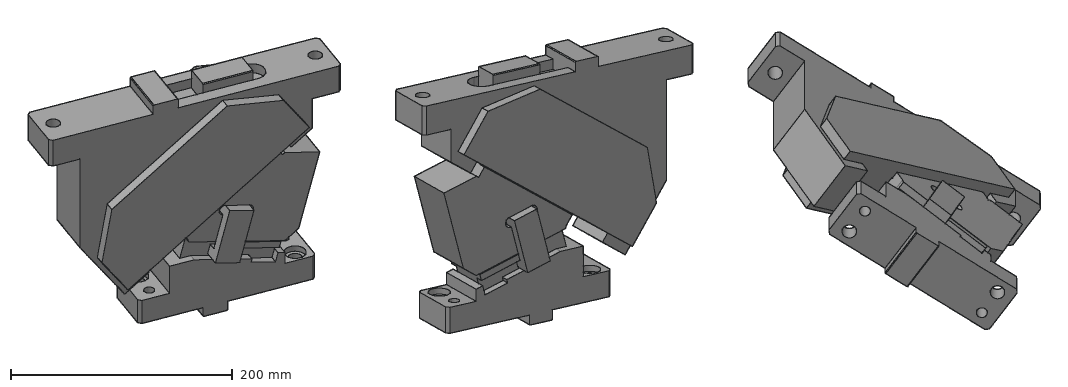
import cadquery as cq
import math

BODY_WIDTH = 50.0
GUIDE_WIDTH = 34.8
HALF_BODY = BODY_WIDTH / 2
HALF_GUIDE = GUIDE_WIDTH / 2
RELIEF = 1.0
KEY_SIZE = 25.0
KEY_RISE = 10.0
KEY_CHAMFER = 1.0
CORNER_CHAMFER = 3.0

HOLDER_LENGTH = 290.0
TOTAL_HEIGHT = 245.0
HOLDER_TOP = TOTAL_HEIGHT - KEY_RISE
FLANGE_THICKNESS = 28.0
FLANGE_BOTTOM = HOLDER_TOP - FLANGE_THICKNESS
BLOCK_BACK = 115.7
BLOCK_FRONT = -115.0
HOLE_DIAMETER = 13.0
HOLDER_HOLE_Y = 130.2

KEYWAY_BACK = 79.8
KEYWAY_DEPTH = 10.0
KEY_BACK = 62.5
KEY_LENGTH = 50.0
RIB_BACK = -17.5
RIB_FRONT = RIB_BACK - KEY_SIZE

SLIDE_ANGLE = 35
SLIDE_Y = 108.2
SLIDE_Z = 184.2
PLATE_LENGTH = 220.0
PLATE_HEIGHT = 85.0
PLATE_CHAMFER = 40.0
PLATE_SPAN = 70.0
UPPER_LIP_END = 24.6
UPPER_LIP_DROP = 12.0
LOWER_LIP_START = 195.5
LOWER_LIP_END = 225.3
LOWER_LIP_DROP = 10.0

SEAT_ANGLE = 15
SEAT_Y = 79.2
SEAT_Z = 39.5
SEAT_STEP = 3.5
RECESS_LENGTH = 25.0
STOP_RISE = 9.5
RAIL_LENGTH = 95.0
RAIL_HEIGHT = 22.3
RAIL_FLANGE_BOTTOM = 15.0
RAIL_FLANGE_LENGTH = 55.0

BASE_BACK = 119.5
BASE_FRONT = -56.5
BASE_TOP = 35.0
HUB_BACK = 88.7
HUB_FRONT = -26.0
HUB_TOP = 64.7
BASE_KEY_BACK = 32.0
FOOT_HOLE_X = 12.5
FOOT_HOLE_BACK = 104.5
FOOT_HOLE_FRONT = -40.5
DOWEL_DIAMETER = 10.0
BORE_DIAMETER = 20.0
BORE_DEPTH = 5.8

SLIDER_START = 35.0
SLIDER_END = 150.0
SLIDER_HEAD_DEPTH = 11.5
SLIDER_BACK_TOP = (123.2, 147.0)
SLIDER_SHOULDER = (88.5, 156.0)
SLIDER_BACK_LOW = (102.5, 69.5)
SLIDER_TOE = (88.7, 60.0)
HOOK_START = 42.5
HOOK_WIDTH = 25.0
HOOK_BOTTOM = 5.2
HOOK_TOP = 60.3
HOOK_SPAN = 68.2
POCKET_WIDTH = 10.0
POCKET_DEPTH = 7.5


def on_slide(along, above):
    """(y, z) of a point given along the slide, downhill, and above it."""
    angle = math.radians(SLIDE_ANGLE)
    y = SLIDE_Y - along * math.cos(angle) - above * math.sin(angle)
    z = SLIDE_Z - along * math.sin(angle) + above * math.cos(angle)
    return y, z


def on_seat(along, above):
    """(y, z) of a point given along the seat, uphill, and above it."""
    angle = math.radians(SEAT_ANGLE)
    y = SEAT_Y - along * math.cos(angle) + above * math.sin(angle)
    z = SEAT_Z + along * math.sin(angle) + above * math.cos(angle)
    return y, z


def slide_at_y(y, above):
    """(y, z) of the point at a given y and a given height above the slide."""
    angle = math.radians(SLIDE_ANGLE)
    along = (SLIDE_Y - y - above * math.sin(angle)) / math.cos(angle)
    return on_slide(along, above)


def extrude_outline(points, x_start, x_end):
    """Prism of a Y-Z outline between two X positions."""
    return cq.Workplane("YZ", origin=(x_start, 0, 0)).polyline(points).close().extrude(x_end - x_start)


def centred_prism(points, width):
    """Prism of a Y-Z outline, centred on X."""
    return extrude_outline(points, -width / 2, width / 2)


def box_between(width, y_front, y_back, z_low, z_high):
    """Box centred on X."""
    length = y_back - y_front
    height = z_high - z_low
    box = cq.Workplane("XY").box(width, length, height)
    return box.translate((0, (y_front + y_back) / 2, (z_low + z_high) / 2))


def cylinder(x, y, diameter, z_low, z_high):
    """Upright cylinder between two heights."""
    return cq.Workplane("XY", origin=(x, y, z_low)).circle(diameter / 2).extrude(z_high - z_low)


def slide_rectangle(start, end, low, high):
    """Corners of a rectangle aligned with the slide."""
    return [on_slide(start, low), on_slide(end, low), on_slide(end, high), on_slide(start, high)]


def seat_rectangle(start, end, low, high):
    """Corners of a rectangle aligned with the seat."""
    return [on_seat(start, low), on_seat(end, low), on_seat(end, high), on_seat(start, high)]


def make_holder():
    half_length = HOLDER_LENGTH / 2
    flange = box_between(BODY_WIDTH, -half_length, half_length, FLANGE_BOTTOM, HOLDER_TOP)
    flange = flange.edges("|Z").chamfer(CORNER_CHAMFER)
    for y in (-HOLDER_HOLE_Y, HOLDER_HOLE_Y):
        flange = flange.cut(cylinder(0, y, HOLE_DIAMETER, FLANGE_BOTTOM, HOLDER_TOP))

    front_angle = math.radians(90 - SLIDE_ANGLE)
    toe_y, toe_z = on_slide(LOWER_LIP_END, -LOWER_LIP_DROP)
    block = centred_prism(
        [
            (BLOCK_BACK, HOLDER_TOP),
            slide_at_y(BLOCK_BACK, -UPPER_LIP_DROP),
            on_slide(UPPER_LIP_END, -UPPER_LIP_DROP),
            on_slide(UPPER_LIP_END, 0),
            on_slide(LOWER_LIP_START, 0),
            on_slide(LOWER_LIP_START, -LOWER_LIP_DROP),
            (toe_y, toe_z),
            (BLOCK_FRONT, toe_z + (toe_y - BLOCK_FRONT) * math.tan(front_angle)),
            (BLOCK_FRONT, HOLDER_TOP),
        ],
        BODY_WIDTH,
    )
    holder = flange.union(block)

    plate_outline = [
        on_slide(0, 0),
        on_slide(PLATE_LENGTH, 0),
        on_slide(PLATE_LENGTH, PLATE_HEIGHT - PLATE_CHAMFER),
        on_slide(PLATE_LENGTH - PLATE_CHAMFER, PLATE_HEIGHT),
        on_slide(PLATE_CHAMFER, PLATE_HEIGHT),
        on_slide(0, PLATE_HEIGHT - PLATE_CHAMFER),
    ]
    for side in (-1, 1):
        holder = holder.union(extrude_outline(plate_outline, side * HALF_BODY, side * PLATE_SPAN / 2))

    keyway_floor = HOLDER_TOP - KEYWAY_DEPTH
    round_centre = KEYWAY_BACK - KEY_SIZE / 2
    holder = holder.cut(cylinder(0, round_centre, KEY_SIZE, keyway_floor, HOLDER_TOP))
    holder = holder.cut(box_between(KEY_SIZE, RIB_BACK, round_centre, keyway_floor, HOLDER_TOP))

    key = box_between(KEY_SIZE, KEY_BACK - KEY_LENGTH, KEY_BACK, keyway_floor, TOTAL_HEIGHT)
    key = key.faces(">Z").edges("|Y").chamfer(KEY_CHAMFER)
    rib = box_between(BODY_WIDTH, RIB_FRONT, RIB_BACK, HOLDER_TOP, TOTAL_HEIGHT)
    rib = rib.faces(">Z").edges("|X").chamfer(KEY_CHAMFER)
    return holder.union(key).union(rib)


def make_slider():
    slider = centred_prism(
        [
            on_slide(SLIDER_START, -RELIEF),
            on_slide(SLIDER_END, -RELIEF),
            on_slide(SLIDER_END, -SLIDER_HEAD_DEPTH),
            on_seat(RAIL_LENGTH, RAIL_HEIGHT),
            on_seat(0, RAIL_HEIGHT),
            SLIDER_TOE,
            SLIDER_BACK_LOW,
            SLIDER_BACK_TOP,
            SLIDER_SHOULDER,
            on_slide(SLIDER_START, -SLIDER_HEAD_DEPTH),
        ],
        BODY_WIDTH,
    )

    guide = centred_prism(slide_rectangle(SLIDER_START, SLIDER_END, -RELIEF, 0), GUIDE_WIDTH)
    slider = slider.union(guide)

    hook_end = HOOK_START + HOOK_WIDTH
    pocket_middle = HOOK_TOP - POCKET_WIDTH / 2
    plate = seat_rectangle(HOOK_START, hook_end, HOOK_BOTTOM, HOOK_TOP)
    tang = seat_rectangle(HOOK_START, hook_end, HOOK_TOP - POCKET_WIDTH, HOOK_TOP)
    foot = seat_rectangle(HOOK_START, hook_end, HOOK_BOTTOM, RAIL_FLANGE_BOTTOM)
    for side in (-1, 1):
        face = side * HALF_BODY
        floor = side * (HALF_BODY - POCKET_DEPTH)
        for along in (HOOK_START, hook_end):
            pocket_end = (
                cq.Workplane("YZ", origin=(floor, 0, 0))
                .center(*on_seat(along, pocket_middle))
                .circle(POCKET_WIDTH / 2)
                .extrude(face - floor)
            )
            slider = slider.cut(pocket_end)
        slider = slider.union(extrude_outline(plate, face, side * HOOK_SPAN / 2))
        slider = slider.union(extrude_outline(tang, floor, face))
        slider = slider.union(extrude_outline(foot, side * HALF_GUIDE, face))
    return slider


def make_base():
    plate = box_between(BODY_WIDTH, BASE_FRONT, BASE_BACK, KEY_RISE, BASE_TOP)
    plate = plate.edges("|Z").chamfer(CORNER_CHAMFER)
    for x, y in ((-FOOT_HOLE_X, FOOT_HOLE_BACK), (FOOT_HOLE_X, FOOT_HOLE_FRONT)):
        plate = plate.cut(cylinder(x, y, DOWEL_DIAMETER, KEY_RISE, BASE_TOP))
    for x, y in ((-FOOT_HOLE_X, FOOT_HOLE_FRONT), (FOOT_HOLE_X, FOOT_HOLE_BACK)):
        plate = plate.cut(cylinder(x, y, HOLE_DIAMETER, KEY_RISE, BASE_TOP))
        plate = plate.cut(cylinder(x, y, BORE_DIAMETER, BASE_TOP - BORE_DEPTH, BASE_TOP))

    angle = math.radians(SEAT_ANGLE)
    stop_y, stop_z = on_seat(0, STOP_RISE)
    seat_end_y, seat_end_z = on_seat(RECESS_LENGTH, SEAT_STEP)
    hub = centred_prism(
        [
            (HUB_BACK, KEY_RISE),
            (HUB_BACK, stop_z - (HUB_BACK - stop_y) * math.tan(angle)),
            (stop_y, stop_z),
            on_seat(0, 0),
            on_seat(RECESS_LENGTH, 0),
            (seat_end_y, seat_end_z),
            (seat_end_y - (HUB_TOP - seat_end_z) / math.tan(angle), HUB_TOP),
            (HUB_FRONT, HUB_TOP),
            (HUB_FRONT, KEY_RISE),
        ],
        BODY_WIDTH,
    )

    rail = centred_prism(seat_rectangle(0, RAIL_LENGTH, 0, RAIL_HEIGHT), GUIDE_WIDTH)
    rail_flange = centred_prism(
        seat_rectangle(0, RAIL_FLANGE_LENGTH, RAIL_FLANGE_BOTTOM, RAIL_HEIGHT - RELIEF), BODY_WIDTH
    )

    key = box_between(BODY_WIDTH, BASE_KEY_BACK - KEY_SIZE, BASE_KEY_BACK, 0, KEY_RISE)
    key = key.faces("<Z").edges("|X").chamfer(KEY_CHAMFER)
    return plate.union(hub).union(rail).union(rail_flange).union(key)


holder = make_holder()
slider = make_slider()
base = make_base()

result = cq.Compound.makeCompound([holder.solids().val(), slider.solids().val(), base.solids().val()])